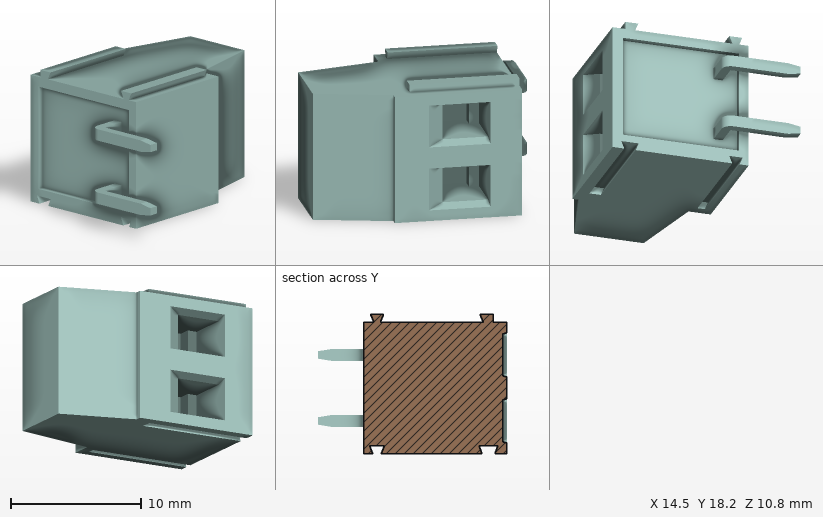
import cadquery as cq

body_width = 11.01
body_depth = 16.0
body_height = 10.15
pole_pitch = body_height / 2
pole_heights = [pole_pitch * (pole + 0.5) for pole in range(2)]

wire_shoulder_y = 10.0
pin_shoulder_y = 9.41
crown_base_start = 0.53
crown_base_end = 9.21
crown_tip_start = 2.11
crown_tip_end = 7.74

recess_start = 0.84
recess_end = 10.25
recess_bottom = 1.16
recess_top = 9.37
recess_depth = 0.5

dovetail_height = 0.6
dovetail_length = 8.63
wire_ridge_start = 1.04
wire_ridge_neck_end = 1.84
wire_ridge_end = 2.1
pin_ridge_start = 9.45
pin_ridge_end = 10.5
pin_ridge_flare = 0.25
wire_groove_start = 0.71
wire_groove_end = 2.11
pin_groove_start = 9.45
pin_groove_end = 10.52
groove_flare = 0.24

entry_front = 2.48
funnel_back = 7.3
funnel_height = 3.37
funnel_depth = 0.95
passage_back = 6.06
passage_height = 2.78
passage_end = 4.37
pocket_front = 3.25
pocket_end = 5.46

pin_start = 8.34
pin_end = 14.5
pin_reach = 2.2
pin_thickness = 0.73
pin_width = 0.91
pin_bend_radius = 0.73
pin_tip_start = 13.49
pin_tip_width = 0.58
pin_embed = 0.36


def make_housing():
    outline = [
        (0, 0),
        (body_width, 0),
        (body_width, pin_shoulder_y),
        (crown_base_end, pin_shoulder_y),
        (crown_tip_end, body_depth),
        (crown_tip_start, body_depth),
        (crown_base_start, wire_shoulder_y),
        (0, wire_shoulder_y),
    ]
    return cq.Workplane("XY").polyline(outline).close().extrude(body_height)


def box_between(low, high):
    sizes = [end - start for start, end in zip(low, high)]
    return cq.Workplane("XY").box(*sizes, centered=False).translate(low)


def dovetail(neck_start, neck_end, wide_start, wide_end, base_z):
    """Bar along Y whose section widens from its neck at base_z upwards."""
    wide_z = base_z + dovetail_height
    section = [(neck_start, base_z), (neck_end, base_z), (wide_end, wide_z), (wide_start, wide_z)]
    return cq.Workplane("XZ").polyline(section).close().extrude(-dovetail_length)


def flared_dovetail(start, end, flare, base_z):
    return dovetail(start + flare, end - flare, start, end, base_z)


def make_wire_entry(center_z):
    mouth = cq.Workplane("YZ").center((entry_front + funnel_back) / 2, center_z)
    throat_shift = (passage_back - funnel_back) / 2
    funnel = (
        mouth.rect(funnel_back - entry_front, funnel_height)
        .workplane(offset=funnel_depth)
        .center(throat_shift, 0)
        .rect(passage_back - entry_front, passage_height)
        .loft(ruled=True)
    )
    bottom = center_z - passage_height / 2
    top = center_z + passage_height / 2
    passage = box_between((funnel_depth, entry_front, bottom), (passage_end, passage_back, top))
    pocket = box_between((passage_end, pocket_front, bottom), (pocket_end, passage_back, top))
    return funnel.union(passage).union(pocket)


def make_pin(center_z):
    leg_end = pin_start + pin_thickness
    tail_top = pin_thickness - pin_reach
    inner_end = recess_depth + pin_embed
    pin = (
        cq.Workplane("XY", origin=(0, 0, center_z - pin_width / 2))
        .moveTo(pin_start, inner_end)
        .lineTo(leg_end, inner_end)
        .lineTo(leg_end, tail_top)
        .lineTo(pin_end, tail_top)
        .lineTo(pin_end, -pin_reach)
        .lineTo(pin_start + pin_bend_radius, -pin_reach)
        .radiusArc((pin_start, pin_bend_radius - pin_reach), pin_bend_radius)
        .close()
        .extrude(pin_width)
    )
    for side in (-1, 1):
        edge_z = center_z + side * pin_width / 2
        tip_z = center_z + side * pin_tip_width / 2
        trim = (
            cq.Workplane("XZ", origin=(0, -pin_reach, 0))
            .polyline([(pin_tip_start, edge_z), (pin_end, edge_z), (pin_end, tip_z)])
            .close()
            .extrude(-pin_thickness)
        )
        pin = pin.cut(trim)
    return pin


result = make_housing()
result = result.cut(
    box_between((recess_start, 0, recess_bottom), (recess_end, recess_depth, recess_top))
)

result = result.union(
    dovetail(wire_ridge_start, wire_ridge_neck_end, wire_ridge_start, wire_ridge_end, body_height)
)
result = result.union(flared_dovetail(pin_ridge_start, pin_ridge_end, pin_ridge_flare, body_height))
result = result.cut(flared_dovetail(wire_groove_start, wire_groove_end, groove_flare, 0))
result = result.cut(flared_dovetail(pin_groove_start, pin_groove_end, groove_flare, 0))

for pole_z in pole_heights:
    result = result.cut(make_wire_entry(pole_z))
    result = result.union(make_pin(pole_z))